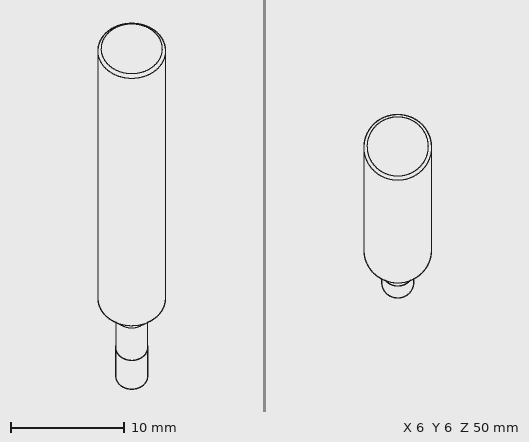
import cadquery as cq

TOTAL_LENGTH = 50.0
SHANK_RADIUS = 6.0 / 2

TIP_RADIUS = 2.85 / 2
TIP_LENGTH = 4.5
TIP_CORNER_RADIUS = 0.15

NECK_RADIUS = 2.8 / 2
CONE_BOTTOM = 9.4
CONE_TOP = 12.0

BEVEL_SIZE = 0.3


def make_tip():
    """Solid cylindrical tip with a rounded lower edge."""
    tip = cq.Workplane("XY").circle(TIP_RADIUS).extrude(TIP_LENGTH)
    return tip.faces("<Z").edges().fillet(TIP_CORNER_RADIUS)


def make_shank():
    """Neck, cone and bevelled shank, revolved as one body on top of the tip."""
    half_profile = (
        cq.Workplane("XZ")
        .moveTo(0, TIP_LENGTH)
        .lineTo(NECK_RADIUS, TIP_LENGTH)
        .lineTo(NECK_RADIUS, CONE_BOTTOM)
        .lineTo(SHANK_RADIUS, CONE_TOP)
        .lineTo(SHANK_RADIUS, TOTAL_LENGTH - BEVEL_SIZE)
        .lineTo(SHANK_RADIUS - BEVEL_SIZE, TOTAL_LENGTH)
        .lineTo(0, TOTAL_LENGTH)
        .close()
    )
    return half_profile.revolve(360, (0, 0, 0), (0, 1, 0))


tip = make_tip()
shank = make_shank()

result = cq.Compound.makeCompound([tip.val(), shank.val()])